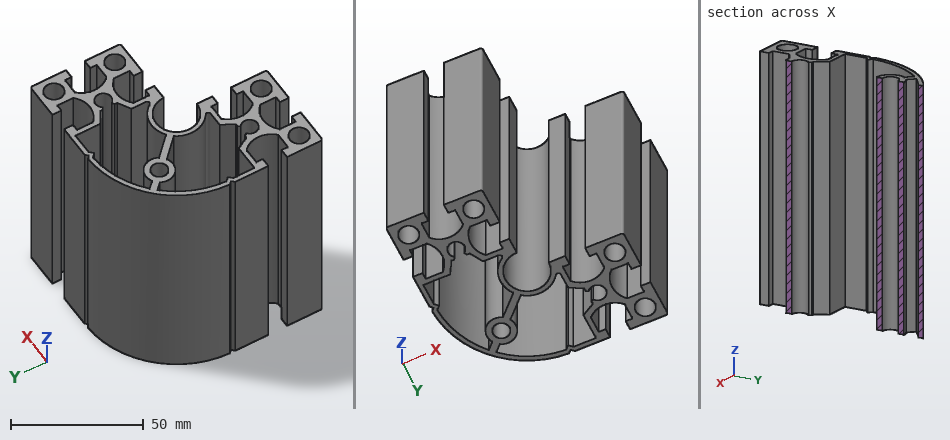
import cadquery as cq
import math

LENGTH = 100.0
ARM = 40.0
ARM_CENTRE = ARM / 2
CORNER_RADIUS = 1.0

SKIN_THICKNESS = 2.0
GROOVE_DEPTH = 1.2
GROOVE_BACKING_DEPTH = 3.5

CHANNEL_RADIUS = 6.8 / 2
CORNER_HOLE_RADIUS = 8.0 / 2
CORNER_HOLE_OFFSET = 13.5
BOSS_RADIUS = 6.0
RIB_WIDTH = 3.0

BORE_RADIUS = 9.0
BORE_WALL = 2.0
HOLLOW_FILLET = 1.0

SLOT_OPENING = 8.3
SLOT_WIDTH = 14.0
LIP_THICKNESS = 4.0
SLOT_SIDE_DEPTH = 11.0
SLOT_DEPTH = 14.0
SLOT_WALL = 2.1

FUNNEL_HALF_WIDTH = 6.8
FUNNEL_END_X = -3.8
FUNNEL_END_HALF_WIDTH = 3.8
NECK_STEP_HALF_WIDTH = 2.6
NECK_HALF_WIDTH = 2.0


def on_rib_face(radius):
    """Point where the +X face of the diagonal rib crosses a circle about the Z axis."""
    return on_circle(radius, 135 - math.degrees(math.asin(RIB_WIDTH / 2 / radius)))


def on_circle(radius, degrees):
    angle = math.radians(degrees)
    return (radius * math.cos(angle), radius * math.sin(angle))


def cylinder(x, y, radius):
    return cq.Workplane("XY").center(x, y).circle(radius).extrude(LENGTH)


def blank():
    """Solid L outline with the quarter round filling its outer corner."""
    outline = (
        cq.Workplane("XY")
        .lineTo(ARM, 0)
        .lineTo(ARM, ARM)
        .lineTo(0, ARM)
        .threePointArc(on_circle(ARM, 135), (-ARM, 0))
        .lineTo(-ARM, -ARM)
        .lineTo(0, -ARM)
        .close()
        .extrude(LENGTH)
    )
    return outline.edges("|Z and (>X or <Y)").fillet(CORNER_RADIUS)


def half_hollow():
    """Hollow on one side of the diagonal rib and boss, with a funnel into the screw channel."""
    skin_inside = ARM - SKIN_THICKNESS
    ridge_tip = ARM - GROOVE_BACKING_DEPTH
    ridge_flat_x = skin_inside - ridge_tip
    ridge_curve_x = (ridge_tip - math.sqrt(2 * skin_inside**2 - ridge_tip**2)) / 2

    wall = ARM_CENTRE - SLOT_WIDTH / 2 - SLOT_WALL
    bore_outer = BORE_RADIUS + BORE_WALL
    fillet_x = wall - HOLLOW_FILLET
    fillet_y = math.sqrt((bore_outer + HOLLOW_FILLET) ** 2 - fillet_x**2)
    fillet_angle = math.degrees(math.atan2(fillet_y, fillet_x))
    bottom_dx, bottom_dy = on_circle(HOLLOW_FILLET, -90)

    neck_x = -math.sqrt(CHANNEL_RADIUS**2 - NECK_HALF_WIDTH**2)
    funnel = [
        (wall - ARM_CENTRE, FUNNEL_HALF_WIDTH),
        (FUNNEL_END_X, FUNNEL_END_HALF_WIDTH),
        (FUNNEL_END_X, NECK_STEP_HALF_WIDTH),
        (neck_x, NECK_HALF_WIDTH),
    ]
    upper = [(ARM_CENTRE + x, ARM_CENTRE + y) for x, y in funnel]
    lower = [(ARM_CENTRE + x, ARM_CENTRE - y) for x, y in reversed(funnel)]

    outline = (
        cq.Workplane("XY")
        .moveTo(*on_rib_face(skin_inside))
        .threePointArc(on_circle(skin_inside, 112.5), (ridge_curve_x, ridge_tip - ridge_curve_x))
        .lineTo(0, ridge_tip)
        .lineTo(ridge_flat_x, skin_inside)
        .lineTo(wall, skin_inside)
    )
    for point in upper + lower:
        outline = outline.lineTo(*point)
    hollow = (
        outline.lineTo(wall, fillet_y)
        .threePointArc((fillet_x + bottom_dx, fillet_y + bottom_dy), on_circle(bore_outer, fillet_angle))
        .threePointArc(on_circle(bore_outer, 90), on_rib_face(bore_outer))
        .close()
        .extrude(LENGTH)
    )
    return hollow.cut(cylinder(-ARM_CENTRE, ARM_CENTRE, BOSS_RADIUS))


def t_slot(rotation):
    """T-slot with an arched floor in one arm face; rotation 0 is the +Y face."""
    half_opening = SLOT_OPENING / 2
    half_width = SLOT_WIDTH / 2
    face = ARM / 2
    lip = face - LIP_THICKNESS
    side_end = face - SLOT_SIDE_DEPTH
    slot = (
        cq.Workplane("XY")
        .moveTo(-half_opening, face)
        .lineTo(-half_opening, lip)
        .lineTo(-half_width, lip)
        .lineTo(-half_width, side_end)
        .threePointArc((0, face - SLOT_DEPTH), (half_width, side_end))
        .lineTo(half_width, lip)
        .lineTo(half_opening, lip)
        .lineTo(half_opening, face)
        .close()
        .extrude(LENGTH)
    )
    return slot.rotate((0, 0, 0), (0, 0, 1), rotation).translate((ARM_CENTRE, ARM_CENTRE, 0))


def marking_groove():
    """V groove in the outer skin where the curve meets the flat."""
    return (
        cq.Workplane("XY")
        .polyline([(-GROOVE_DEPTH, ARM), (0, ARM - GROOVE_DEPTH), (GROOVE_DEPTH, ARM)])
        .close()
        .extrude(LENGTH)
    )


arm_cuts = [half_hollow(), marking_groove(), cylinder(ARM_CENTRE, ARM_CENTRE, CHANNEL_RADIUS)]
for slot_rotation in (0, -90, 180):
    arm_cuts.append(t_slot(slot_rotation))
for side in (1, -1):
    hole_x = ARM_CENTRE + CORNER_HOLE_OFFSET
    hole_y = ARM_CENTRE + side * CORNER_HOLE_OFFSET
    arm_cuts.append(cylinder(hole_x, hole_y, CORNER_HOLE_RADIUS))

profile = blank()
for arm_cut in arm_cuts:
    profile = profile.cut(arm_cut)
    profile = profile.cut(arm_cut.mirror((1, 1, 0)))

profile = profile.cut(cylinder(-ARM_CENTRE, ARM_CENTRE, CHANNEL_RADIUS))
result = profile.cut(cylinder(0, 0, BORE_RADIUS))